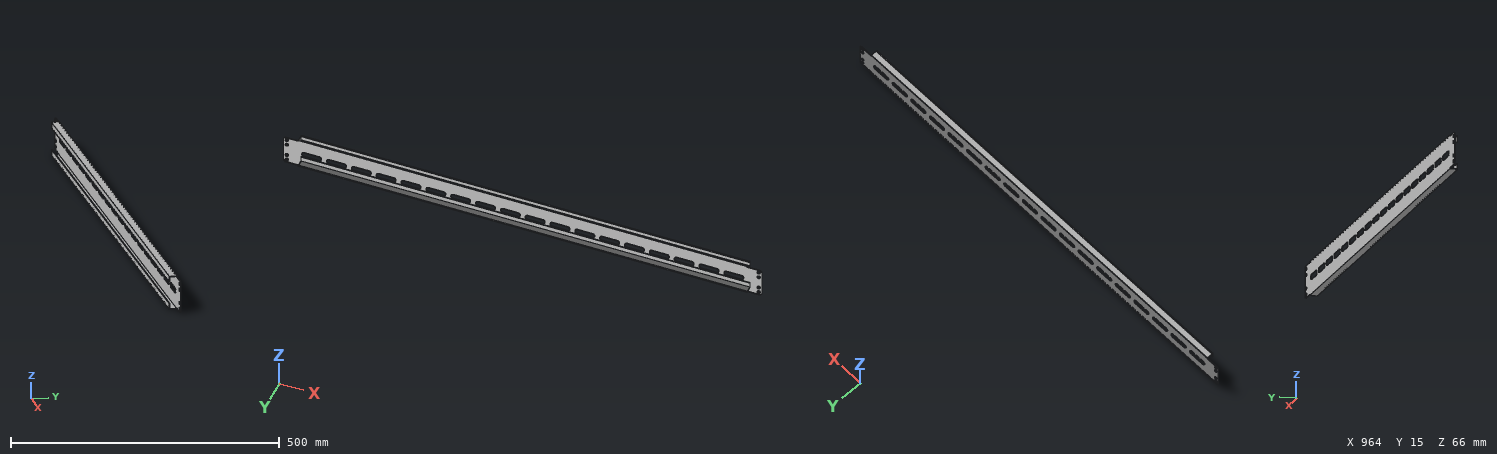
import cadquery as cq

LENGTH = 964.0
DEPTH = 15.0
HEIGHT = 66.0
SHEET = 1.7

FLANGE_LENGTH = 904.0
LIP_HEIGHT = 12.0

WEB_HEIGHT = 62.0
CORNER_CHAMFER = 4.0

SLOT_COUNT = 18
SLOT_SPAN = 850.0
SLOT_PITCH = SLOT_SPAN / (SLOT_COUNT - 1)
SLOT_LENGTH = 40.0
SLOT_WIDTH = 10.0

HOLE_DIAMETER = 6.0
HOLE_EDGE_DISTANCE = 7.0
HOLE_INNER_SPACING = 26.0
HOLE_OUTER_SPACING = 49.0

BACK = DEPTH / 2
FRONT = -DEPTH / 2


def web_plane():
    """Back face of the web; sketches on it extrude toward the lips."""
    return cq.Workplane("XZ", origin=(0, BACK, 0))


def make_web():
    """Flat strip over the full length, with chamfered corners."""
    web = web_plane().rect(LENGTH, WEB_HEIGHT).extrude(SHEET)
    return web.edges("|Y").chamfer(CORNER_CHAMFER)


def make_channel():
    """C-shaped sheet section: web, two flanges and two inward lips."""
    half_height = HEIGHT / 2
    inner_half = half_height - SHEET
    lip_end = half_height - LIP_HEIGHT
    outline = [
        (BACK, -half_height),
        (BACK, half_height),
        (FRONT, half_height),
        (FRONT, lip_end),
        (FRONT + SHEET, lip_end),
        (FRONT + SHEET, inner_half),
        (BACK - SHEET, inner_half),
        (BACK - SHEET, -inner_half),
        (FRONT + SHEET, -inner_half),
        (FRONT + SHEET, -lip_end),
        (FRONT, -lip_end),
        (FRONT, -half_height),
    ]
    section = cq.Workplane("YZ").polyline(outline).close()
    return section.extrude(FLANGE_LENGTH / 2, both=True)


def make_slots():
    """Round-ended slot cutters, evenly spaced along the rail."""
    slots = web_plane().rarray(SLOT_PITCH, 10, SLOT_COUNT, 1)
    return slots.slot2D(SLOT_LENGTH, SLOT_WIDTH).extrude(SHEET)


def make_holes():
    """Round cutters for the four mounting holes in each tab."""
    column_spacing = LENGTH - 2 * HOLE_EDGE_DISTANCE
    centres = [
        (x_side * column_spacing / 2, z_side * row_spacing / 2)
        for x_side in (-1, 1)
        for z_side in (-1, 1)
        for row_spacing in (HOLE_INNER_SPACING, HOLE_OUTER_SPACING)
    ]
    holes = web_plane().pushPoints(centres)
    return holes.circle(HOLE_DIAMETER / 2).extrude(SHEET)


result = make_web().union(make_channel()).cut(make_slots()).cut(make_holes())